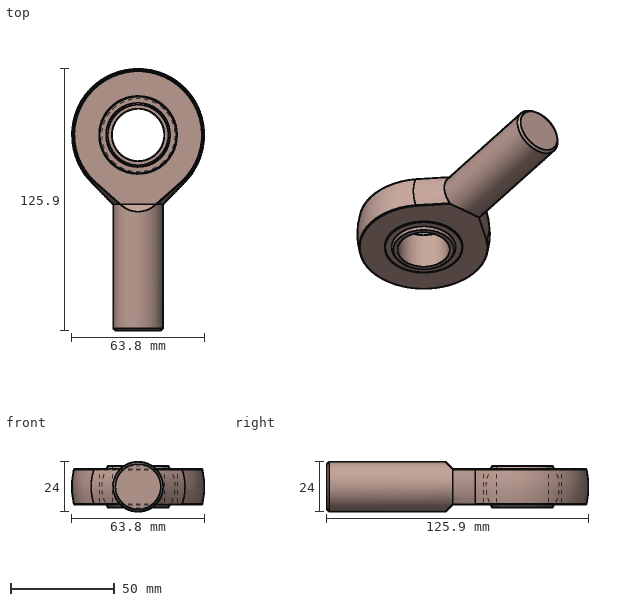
import cadquery as cq
import math

TOTAL_LENGTH = 125.9
HEAD_RADIUS = 63.8 / 2
RIM_RADIUS = 31.0
HEAD_THICKNESS = 17.1
RIM_CHAMFER = 0.4

NECK_END_Y = -33.4

SHANK_RADIUS = 24.0 / 2
SHANK_CHAMFER = 1.1

RACE_RADIUS = 37.5 / 2
RACE_CHAMFER = 0.4
BALL_RADIUS = 17.6
BALL_WIDTH = 20.0
BORE_RADIUS = 25.0 / 2

HALF_HEAD = HEAD_THICKNESS / 2
RIM_EDGE_Z = HALF_HEAD - RIM_CHAMFER
FACE_RADIUS = RIM_RADIUS - RIM_CHAMFER
SHANK_END_Y = HEAD_RADIUS - TOTAL_LENGTH
NECK_START_Y = -HEAD_RADIUS * math.sin(math.radians(45))


def eye_disc():
    """Disc with a bulged rim, cut flat where the neck starts."""
    disc = (
        cq.Workplane("XZ")
        .moveTo(0, -HALF_HEAD)
        .lineTo(FACE_RADIUS, -HALF_HEAD)
        .lineTo(RIM_RADIUS, -RIM_EDGE_Z)
        .threePointArc((HEAD_RADIUS, 0), (RIM_RADIUS, RIM_EDGE_Z))
        .lineTo(FACE_RADIUS, HALF_HEAD)
        .lineTo(0, HALF_HEAD)
        .close()
        .revolve(360, (0, 0, 0), (0, 1, 0))
    )
    room = 2 * HEAD_RADIUS
    keep = cq.Workplane("XY").box(2 * room, room, room, centered=(True, False, True))
    return disc.intersect(keep.translate((0, NECK_START_Y, 0)))


def half_chord(radius, offset):
    """Half width of a circle at a given distance from its centre."""
    return math.sqrt(radius**2 - offset**2)


def bulged_section(workplane, middle_x, edge_x, face_x):
    """Flat-topped section with an arc on each side and bevelled corners."""
    return (
        workplane.moveTo(-face_x, HALF_HEAD)
        .lineTo(face_x, HALF_HEAD)
        .lineTo(edge_x, RIM_EDGE_Z)
        .threePointArc((middle_x, 0), (edge_x, -RIM_EDGE_Z))
        .lineTo(face_x, -HALF_HEAD)
        .lineTo(-face_x, -HALF_HEAD)
        .lineTo(-edge_x, -RIM_EDGE_Z)
        .threePointArc((-middle_x, 0), (-edge_x, RIM_EDGE_Z))
        .close()
    )


def neck():
    """Straight-ruled blend from the eye section to the flattened shank circle."""
    sections = bulged_section(
        cq.Workplane("XZ", origin=(0, NECK_START_Y, 0)),
        half_chord(HEAD_RADIUS, NECK_START_Y),
        half_chord(RIM_RADIUS, NECK_START_Y),
        half_chord(FACE_RADIUS, NECK_START_Y),
    )
    sections = bulged_section(
        sections.workplane(offset=NECK_START_Y - NECK_END_Y),
        SHANK_RADIUS,
        half_chord(SHANK_RADIUS, RIM_EDGE_Z),
        half_chord(SHANK_RADIUS, HALF_HEAD),
    )
    return sections.loft(ruled=True)


def shank():
    """Round bar, bevelled at 45 degrees above and below down to the head faces."""
    bar = (
        cq.Workplane("XZ", origin=(0, NECK_END_Y, 0))
        .circle(SHANK_RADIUS)
        .extrude(NECK_END_Y - SHANK_END_Y)
        .faces("<Y")
        .chamfer(SHANK_CHAMFER)
    )
    bevel = SHANK_RADIUS - HALF_HEAD
    side_outline = (
        cq.Workplane("YZ")
        .moveTo(NECK_END_Y, HALF_HEAD)
        .lineTo(NECK_END_Y - bevel, SHANK_RADIUS)
        .lineTo(SHANK_END_Y, SHANK_RADIUS)
        .lineTo(SHANK_END_Y, -SHANK_RADIUS)
        .lineTo(NECK_END_Y - bevel, -SHANK_RADIUS)
        .lineTo(NECK_END_Y, -HALF_HEAD)
        .close()
        .extrude(SHANK_RADIUS, both=True)
    )
    return bar.intersect(side_outline)


def make_housing():
    """Rod end: eye, neck and shank with a plain seat for the race."""
    seat = cq.Workplane("XY").circle(RACE_RADIUS).extrude(HALF_HEAD, both=True)
    body = eye_disc().union(neck()).union(shank())
    return body.cut(seat)


def make_race():
    """Outer ring with a spherical seat for the ball."""
    ring = (
        cq.Workplane("XY")
        .circle(RACE_RADIUS)
        .extrude(HALF_HEAD, both=True)
        .faces("<Z or >Z")
        .chamfer(RACE_CHAMFER)
    )
    return ring.cut(cq.Workplane("XY").sphere(BALL_RADIUS))


def make_ball():
    """Sphere cut flat on both sides, with a through bore."""
    slab = cq.Workplane("XY").circle(BALL_RADIUS).circle(BORE_RADIUS).extrude(BALL_WIDTH / 2, both=True)
    return cq.Workplane("XY").sphere(BALL_RADIUS).intersect(slab)


housing = make_housing()
race = make_race()
ball = make_ball()

result = cq.Compound.makeCompound([housing.val(), race.val(), ball.val()])